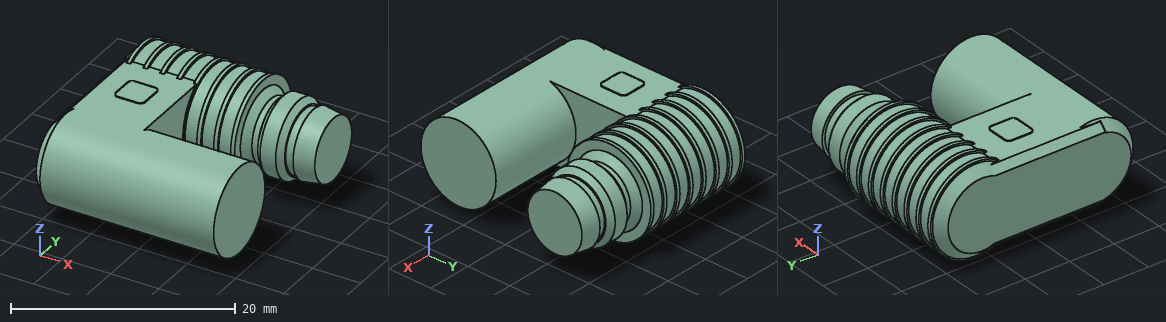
import cadquery as cq

OVERALL_WIDTH = 22.7
END_CHAMFER = 1.0

BARREL_DIAMETER = 9.6
RIB_DIAMETER = 10.0
RIB_COUNT = 8
RIB_PITCH = 1.75
RIB_WIDTH = 0.4
BARREL_LENGTH = END_CHAMFER + (RIB_COUNT - 1) * RIB_PITCH + RIB_WIDTH

NECK_DIAMETER = 6.5
COLLAR_DIAMETER = 8.0
COLLAR_START = 15.1
COLLAR_END = 17.89
COLLAR_CHAMFER = 0.6
BARB_START = 18.85
BARB_DIAMETER = 7.13
SPIGOT_END = 20.9

POST_DIAMETER = 9.0
POST_LENGTH = 19.0
AXIS_SPACING = OVERALL_WIDTH - RIB_DIAMETER / 2 - POST_DIAMETER / 2

WEB_LENGTH = 8.29
WEB_THICKNESS = 8.54
WEB_CHAMFER = 0.75
WEB_OVERRUN = 0.65
PAD_SIZE = 3.05
PAD_CORNER_RADIUS = 0.5
PAD_HEIGHT = 0.1
PAD_CENTER_X = 4.4


def barrel_with_spigot():
    """Revolve the barrel, neck, collar and tapered barb about the X axis."""
    barrel_radius = BARREL_DIAMETER / 2
    neck_radius = NECK_DIAMETER / 2
    collar_radius = COLLAR_DIAMETER / 2
    collar_edge_radius = collar_radius - COLLAR_CHAMFER
    neck_start = BARREL_LENGTH + collar_radius - neck_radius
    profile = [
        (0, 0),
        (0, barrel_radius - END_CHAMFER),
        (END_CHAMFER, barrel_radius),
        (BARREL_LENGTH, barrel_radius),
        (BARREL_LENGTH, collar_radius),
        (neck_start, neck_radius),
        (COLLAR_START, neck_radius),
        (COLLAR_START, collar_edge_radius),
        (COLLAR_START + COLLAR_CHAMFER, collar_radius),
        (COLLAR_END - COLLAR_CHAMFER, collar_radius),
        (COLLAR_END, collar_edge_radius),
        (COLLAR_END, neck_radius),
        (BARB_START, neck_radius),
        (BARB_START, BARB_DIAMETER / 2),
        (SPIGOT_END, neck_radius),
        (SPIGOT_END, 0),
    ]
    return cq.Workplane("XY").polyline(profile).close().revolve(360, (0, 0), (1, 0))


def rib(start):
    """One disc, concentric with the barrel, that stands out as a rib."""
    return cq.Workplane("YZ", origin=(start, 0, 0)).circle(RIB_DIAMETER / 2).extrude(RIB_WIDTH)


def post():
    """Cylinder beside the barrel, chamfered at the closed end."""
    cylinder = cq.Workplane("YZ", origin=(0, -AXIS_SPACING, 0)).circle(POST_DIAMETER / 2).extrude(POST_LENGTH)
    return cylinder.faces("<X").edges().chamfer(END_CHAMFER)


def web():
    """Flat block from the barrel axis to just past the post axis, chamfered along its end edges."""
    width = AXIS_SPACING + WEB_OVERRUN
    block = cq.Workplane("XY").box(WEB_LENGTH, width, WEB_THICKNESS, centered=(False, True, True))
    block = block.faces("<X").edges("|Y").chamfer(WEB_CHAMFER)
    return block.translate((0, -width / 2, 0))


def pad():
    """Rounded square raised above the middle of the web."""
    square = cq.Workplane("XY", origin=(PAD_CENTER_X, -AXIS_SPACING / 2, 0)).rect(PAD_SIZE, PAD_SIZE)
    return square.extrude(WEB_THICKNESS / 2 + PAD_HEIGHT).edges("|Z").fillet(PAD_CORNER_RADIUS)


result = barrel_with_spigot()
for index in range(RIB_COUNT):
    result = result.union(rib(END_CHAMFER + index * RIB_PITCH))
result = result.union(post()).union(web()).union(pad())